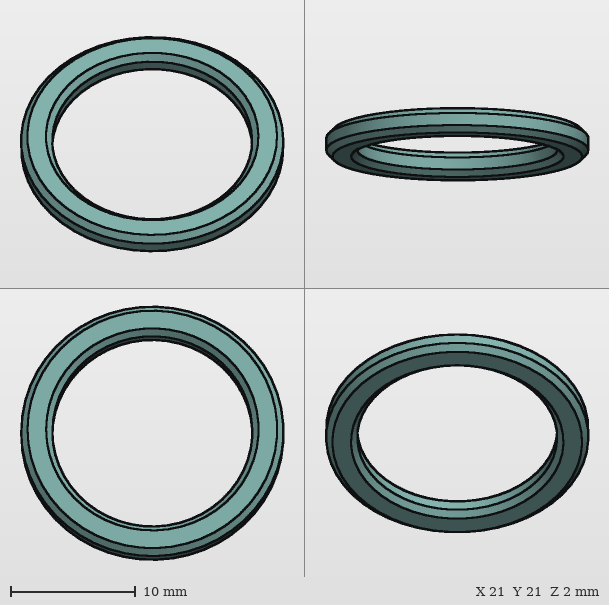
import cadquery as cq

outer_diameter = 21.0
bore_diameter = 16.0
thickness = 2.0
chamfer_size = 0.5

ring = (
    cq.Workplane("XY")
    .circle(outer_diameter / 2)
    .circle(bore_diameter / 2)
    .extrude(thickness)
)

result = ring.faces("<Z or >Z").edges().chamfer(chamfer_size)